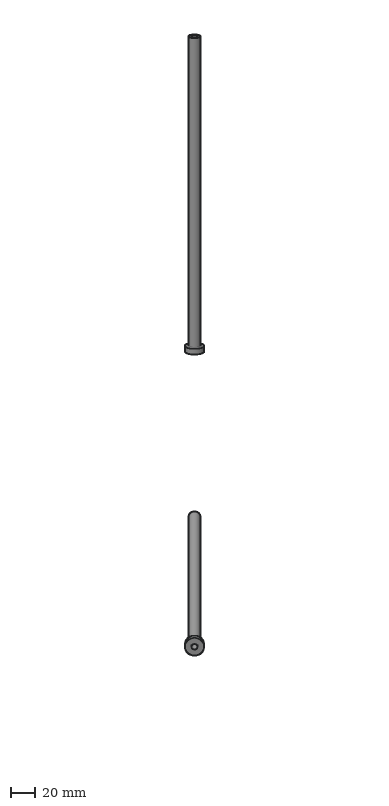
import cadquery as cq

total_length = 275.0
head_radius = 16.0 / 2
bore_radius = 2.5
wall_thickness = bore_radius
shaft_radius = bore_radius + wall_thickness
head_height = 2 * bore_radius
root_fillet = 0.5


def sleeve_profile():
    """Half section in the XZ plane, from the bore wall out to the head rim."""
    return (
        cq.Workplane("XZ")
        .moveTo(bore_radius, 0)
        .lineTo(head_radius, 0)
        .lineTo(head_radius, head_height)
        .lineTo(shaft_radius + root_fillet, head_height)
        .radiusArc((shaft_radius, head_height + root_fillet), root_fillet)
        .lineTo(shaft_radius, total_length)
        .lineTo(bore_radius, total_length)
        .close()
    )


result = sleeve_profile().revolve(360, (0, 0, 0), (0, 1, 0))